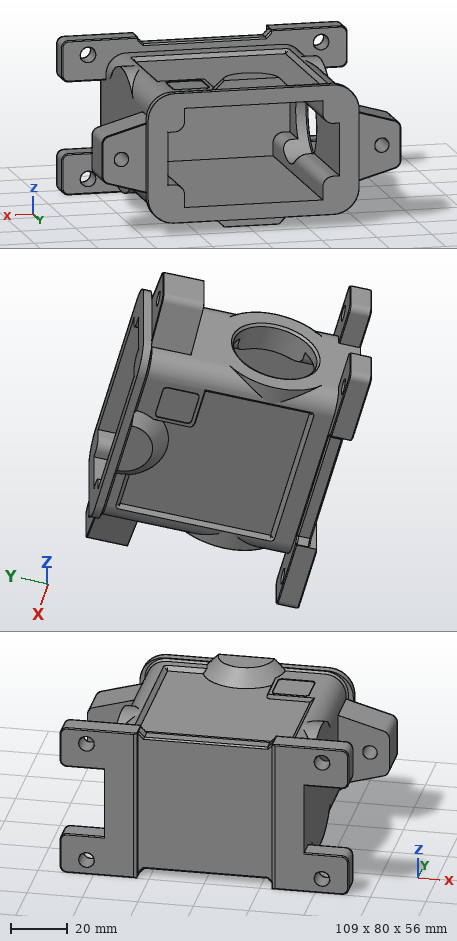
import cadquery as cq
import math

TOTAL_LENGTH = 80.0

SLOPE_ANGLE = 45.0

BODY_HALF_X = 36.0
BODY_HALF_Z = 22.5
BODY_CORNER_RADIUS = 7.5

FLANGE_THICKNESS = 3.0
FLANGE_HALF_X = 38.5
FLANGE_HALF_Z = 23.5
FLANGE_CORNER_RADIUS = 9.5
NECK_SIZE = 0.75
FLANGE_FRONT_Y = TOTAL_LENGTH - FLANGE_THICKNESS

FOOT_THICKNESS = 8.0
FOOT_OUTER_X = 52.1
FOOT_INNER_X = 24.4
FOOT_HALF_Z = 28.0
FOOT_CORNER_RADIUS = 2.5
FOOT_EDGE_CHAMFER = 0.4
FOOT_INNER_BEVEL_X = 1.1
FOOT_INNER_BEVEL_Y = 0.4
FOOT_HOLE_X = 42.5
FOOT_HOLE_Z = 22.5
FOOT_HOLE_DIAMETER = 5.6
NOTCH_HALF_Z = 13.0
PLATE_FRONT_Y = 2.8
PLATE_HALF_Z = 25.4
PLATE_EDGE_CHAMFER = 0.6
GUSSET_SIZE = 2.2

EAR_LENGTH_Y = 15.0
EAR_END_X = 54.5
EAR_ROOT_HALF_Z = 13.4
EAR_END_HALF_Z = 8.1
EAR_CORNER_RADIUS = 3.0
EAR_EDGE_CHAMFER = 0.3
EAR_HOLE_X = 47.5
EAR_HOLE_DIAMETER = 5.2

BOSS_TOP_RADIUS = 10.0
BOSS_TOP_Z = 26.6

PANEL_DEPTH = 1.5
PANEL_HALF_X = 27.4
PANEL_Y_MIN = 16.4
PANEL_Y_MAX = 71.4
PANEL_FLOOR_Z = BODY_HALF_Z - PANEL_DEPTH

PAD_INNER_X = 11.9
PAD_Y_MIN = 55.0
PAD_CORNER_RADIUS = 2.0
PAD_SLOPE = 0.5
LABEL_X = 19.8
LABEL_Y = 62.8
LABEL_SIZE = 13.2
LABEL_CORNER_RADIUS = 1.5
LABEL_DEPTH = 0.3

PORT_Y = 31.0
PORT_COLLAR_RADIUS = BODY_HALF_Z
PORT_RADIUS = 15.3
PORT_CHAMFER = 0.9

CAVITY_Y_MIN = 7.0
CAVITY_HALF_X = 25.2
CAVITY_HALF_Z = 18.0
RECESS_HALF_X = 31.3
RECESS_HALF_Z = 9.6
RECESS_LIP_RADIUS = 3.8

SIDES = (-1, 1)
CUT_MARGIN = 1.0


def along_y(y_min):
    """Sketch plane facing +Y whose local axes are X and -Z."""
    return cq.Workplane("XZ", origin=(0, y_min, 0)).transformed(rotate=(180, 0, 0))


def box(x_min, x_max, y_min, y_max, z_min, z_max):
    size = (x_max - x_min, y_max - y_min, z_max - z_min)
    return cq.Workplane("XY").box(*size, centered=False).translate((x_min, y_min, z_min))


def on_both_faces(feature):
    """A feature on the +Z face together with its copy turned half round the Y axis."""
    return feature.union(feature.rotate((0, 0, 0), (0, 1, 0), 180))


def rounded_bar(half_x, half_z, corner_radius, y_min, y_max, taper=0):
    """Bar along Y with a rounded rectangular section; a negative taper widens it towards +Y."""
    section = cq.Sketch().rect(2 * half_x, 2 * half_z).vertices().fillet(corner_radius)
    return along_y(y_min).placeSketch(section).extrude(y_max - y_min, taper=taper)


def make_body():
    """Body, open-end flange and the small 45-degree neck leading into the flange."""
    body_section = (BODY_HALF_X, BODY_HALF_Z, BODY_CORNER_RADIUS)
    flange_section = (FLANGE_HALF_X, FLANGE_HALF_Z, FLANGE_CORNER_RADIUS)
    body = rounded_bar(*body_section, PLATE_FRONT_Y + PLATE_EDGE_CHAMFER, FLANGE_FRONT_Y)
    neck = rounded_bar(*body_section, FLANGE_FRONT_Y - NECK_SIZE, FLANGE_FRONT_Y, taper=-SLOPE_ANGLE)
    flange = rounded_bar(*flange_section, FLANGE_FRONT_Y, TOTAL_LENGTH)
    return body.union(neck).union(flange)


def make_collar():
    """Flat-ended cylinder whose ends break through the rounded body corners."""
    return (
        cq.Workplane("YZ", origin=(-BODY_HALF_X, PORT_Y, 0))
        .circle(PORT_COLLAR_RADIUS)
        .extrude(2 * BODY_HALF_X)
    )


def make_panel():
    """Cutter for the +Z panel, leaving the label pad standing."""
    panel = (
        cq.Workplane("XY", origin=(0, (PANEL_Y_MIN + PANEL_Y_MAX) / 2, PANEL_FLOOR_Z))
        .rect(2 * PANEL_HALF_X, PANEL_Y_MAX - PANEL_Y_MIN)
        .extrude(PANEL_DEPTH + CUT_MARGIN, taper=-SLOPE_ANGLE)
    )
    pad_size_x = BODY_HALF_X - PAD_INNER_X + 2 * PAD_SLOPE
    pad_size_y = FLANGE_FRONT_Y - PAD_Y_MIN + 2 * PAD_SLOPE
    pad_center = ((PAD_INNER_X + BODY_HALF_X) / 2, (PAD_Y_MIN + FLANGE_FRONT_Y) / 2)
    pad_profile = cq.Sketch().rect(pad_size_x, pad_size_y).vertices("<X and <Y").fillet(PAD_CORNER_RADIUS)
    pad = (
        cq.Workplane("XY", origin=(*pad_center, PANEL_FLOOR_Z))
        .placeSketch(pad_profile)
        .extrude(PANEL_DEPTH + CUT_MARGIN, taper=math.degrees(math.atan(PAD_SLOPE / PANEL_DEPTH)))
    )
    label = (
        cq.Workplane("XY", origin=(LABEL_X, LABEL_Y, BODY_HALF_Z - LABEL_DEPTH))
        .rect(LABEL_SIZE, LABEL_SIZE)
        .extrude(LABEL_DEPTH + CUT_MARGIN)
        .edges("|Z")
        .fillet(LABEL_CORNER_RADIUS)
    )
    return panel.cut(pad).union(label)


def make_boss():
    """45-degree cone standing on the +Z panel, cut off flush with the flange."""
    height = BOSS_TOP_Z - PANEL_FLOOR_Z
    base_radius = BOSS_TOP_RADIUS + height
    base_center = cq.Vector(0, FLANGE_FRONT_Y, PANEL_FLOOR_Z)
    cone = cq.Workplane(cq.Solid.makeCone(base_radius, BOSS_TOP_RADIUS, height, base_center))
    beyond = box(-base_radius, base_radius, FLANGE_FRONT_Y, TOTAL_LENGTH + base_radius, 0, BOSS_TOP_Z)
    return cone.cut(beyond)


def make_foot():
    """Notched two-hole foot on the +X side."""
    foot = (
        box(FOOT_INNER_X, FOOT_OUTER_X, 0, FOOT_THICKNESS, -FOOT_HALF_Z, FOOT_HALF_Z)
        .cut(box(BODY_HALF_X, FOOT_OUTER_X, 0, FOOT_THICKNESS, -NOTCH_HALF_Z, NOTCH_HALF_Z))
        .edges("|Y and >X")
        .fillet(FOOT_CORNER_RADIUS)
    )
    all_but_inner_edge = cq.selectors.BoxSelector(
        (FOOT_INNER_X + FOOT_EDGE_CHAMFER, -FOOT_THICKNESS, -2 * FOOT_HALF_Z),
        (2 * FOOT_OUTER_X, 2 * FOOT_THICKNESS, 2 * FOOT_HALF_Z),
    )
    notch_floor = cq.selectors.BoxSelector(
        (BODY_HALF_X - FOOT_EDGE_CHAMFER, -FOOT_THICKNESS, -FOOT_EDGE_CHAMFER),
        (BODY_HALF_X + FOOT_EDGE_CHAMFER, 2 * FOOT_THICKNESS, FOOT_EDGE_CHAMFER),
    )
    foot = foot.faces("<Y or >Y").edges(all_but_inner_edge - notch_floor).chamfer(FOOT_EDGE_CHAMFER)
    bevel = (
        cq.Workplane("XY", origin=(0, 0, -FOOT_HALF_Z))
        .moveTo(FOOT_INNER_X, 0)
        .lineTo(FOOT_INNER_X + FOOT_INNER_BEVEL_X, 0)
        .lineTo(FOOT_INNER_X, FOOT_INNER_BEVEL_Y)
        .close()
        .extrude(2 * FOOT_HALF_Z)
    )
    holes = (
        along_y(0)
        .pushPoints([(FOOT_HOLE_X, side * FOOT_HOLE_Z) for side in SIDES])
        .circle(FOOT_HOLE_DIAMETER / 2)
        .extrude(FOOT_THICKNESS)
    )
    return foot.cut(bevel).cut(holes)


def make_plate():
    """Plate joining the feet, widening at 45 degrees where it meets them."""
    flare_z = PLATE_HALF_Z + GUSSET_SIZE
    flare_x = FOOT_INNER_X - GUSSET_SIZE
    embedded_x = FOOT_INNER_X + 2 * PLATE_EDGE_CHAMFER
    upper_edge = [
        (-embedded_x, flare_z),
        (-FOOT_INNER_X, flare_z),
        (-flare_x, PLATE_HALF_Z),
        (flare_x, PLATE_HALF_Z),
        (FOOT_INNER_X, flare_z),
        (embedded_x, flare_z),
    ]
    lower_edge = [(-x, -z) for x, z in upper_edge]
    return (
        along_y(PLATE_FRONT_Y)
        .polyline(upper_edge + lower_edge)
        .close()
        .extrude(FOOT_THICKNESS - PLATE_FRONT_Y)
        .faces("<Y or >Y")
        .chamfer(PLATE_EDGE_CHAMFER)
    )


def make_ear():
    """Tapered lug with one hole on the +X side."""
    root_x = CAVITY_HALF_X
    ear = (
        along_y(FLANGE_FRONT_Y - EAR_LENGTH_Y)
        .polyline([
            (root_x, -EAR_ROOT_HALF_Z),
            (BODY_HALF_X, -EAR_ROOT_HALF_Z),
            (EAR_END_X, -EAR_END_HALF_Z),
            (EAR_END_X, EAR_END_HALF_Z),
            (BODY_HALF_X, EAR_ROOT_HALF_Z),
            (root_x, EAR_ROOT_HALF_Z),
        ])
        .close()
        .extrude(EAR_LENGTH_Y)
        .edges("|Y and >X")
        .fillet(EAR_CORNER_RADIUS)
    )
    hole = (
        along_y(FLANGE_FRONT_Y - EAR_LENGTH_Y)
        .center(EAR_HOLE_X, 0)
        .circle(EAR_HOLE_DIAMETER / 2)
        .extrude(EAR_LENGTH_Y)
    )
    return ear.faces(">Y").edges(">X").chamfer(EAR_EDGE_CHAMFER).cut(hole)


def make_cavity():
    depth = TOTAL_LENGTH - CAVITY_Y_MIN
    chamber = along_y(CAVITY_Y_MIN).rect(2 * CAVITY_HALF_X, 2 * CAVITY_HALF_Z).extrude(depth)
    recess = along_y(CAVITY_Y_MIN).rect(2 * RECESS_HALF_X, 2 * RECESS_HALF_Z).extrude(depth)
    lips = cq.selectors.BoxSelector(
        (-CAVITY_HALF_X - 1, 0, -RECESS_HALF_Z - 1),
        (CAVITY_HALF_X + 1, TOTAL_LENGTH, RECESS_HALF_Z + 1),
    )
    return chamber.union(recess).edges("|Y").edges(lips).fillet(RECESS_LIP_RADIUS)


def make_port():
    """Bore through the -X wall with a chamfered mouth."""
    bore = cq.Workplane("YZ", origin=(-BODY_HALF_X, PORT_Y, 0)).circle(PORT_RADIUS).extrude(BODY_HALF_X)
    mouth = cq.Workplane(
        cq.Solid.makeCone(
            PORT_RADIUS + PORT_CHAMFER, PORT_RADIUS, PORT_CHAMFER,
            cq.Vector(-BODY_HALF_X, PORT_Y, 0), cq.Vector(1, 0, 0),
        )
    )
    return bore.union(mouth)


housing = make_body().union(make_collar()).cut(on_both_faces(make_panel()))
housing = housing.union(on_both_faces(make_boss())).union(make_plate())
for attachment in (make_foot(), make_ear()):
    housing = housing.union(attachment).union(attachment.mirror("YZ"))
result = housing.cut(make_cavity()).cut(make_port())